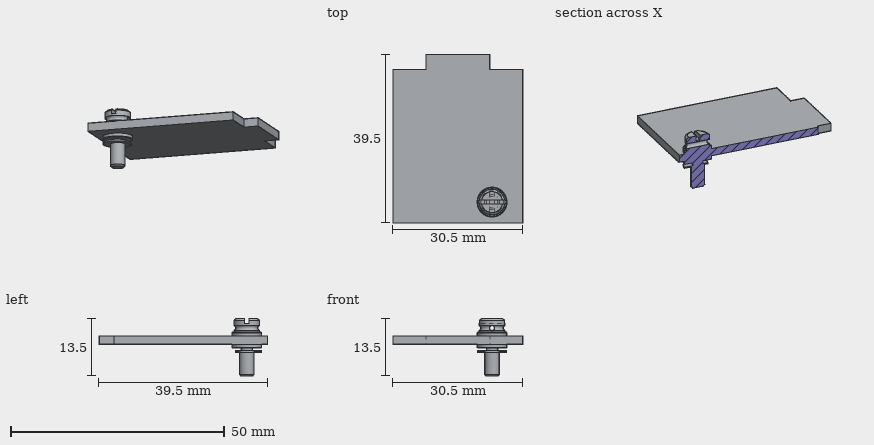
import cadquery as cq

plate_width = 30.5
body_length = 36.0
tab_width = 15.0
tab_length = 3.5
plate_thickness = 2.0

screw_x = plate_width - 7.25
screw_y = 4.9
screw_length = 13.53
head_top_z = plate_thickness + 4.1
tip_z = head_top_z - screw_length

bushing_radius = 3.5
bushing_projection = 0.85
bushing_chamfer = 0.15
bushing_top_z = plate_thickness + bushing_projection
bushing_bottom_z = -bushing_projection

head_radius = 3.02
head_chamfer_width = 0.55
head_chamfer_height = 0.45
band_bottom_z = head_top_z - 1.7
waist_radius = 2.65
waist_bottom_z = band_bottom_z - 1.15
waist_middle_z = (band_bottom_z + waist_bottom_z) / 2
driver_slot_width = 1.0
driver_slot_depth = 1.2
cross_hole_diameter = 1.15

shank_radius = 1.75
shank_chamfer = 0.4
neck_radius = 1.35
clip_radius = 3.45
clip_thickness = 0.4
clip_flat_offset = 2.6
clip_top_z = bushing_bottom_z - 0.6
clip_bottom_z = clip_top_z - clip_thickness


def make_plate():
    """Rectangular plate with a centred tab on its +Y edge."""
    body = cq.Workplane("XY").box(plate_width, body_length, plate_thickness, centered=False)
    tab = (
        cq.Workplane("XY")
        .box(tab_width, tab_length, plate_thickness, centered=False)
        .translate(((plate_width - tab_width) / 2, body_length, 0))
    )
    return body.union(tab)


def make_bushing():
    """Short cylinder through the plate, chamfered at both ends."""
    return (
        cq.Workplane("XY", origin=(0, 0, bushing_bottom_z))
        .circle(bushing_radius)
        .extrude(bushing_top_z - bushing_bottom_z)
        .edges()
        .chamfer(bushing_chamfer)
    )


def make_screw():
    """Screw turned about Z; a hollow arc forms the waist between band and foot."""
    return (
        cq.Workplane("XZ")
        .moveTo(0, tip_z)
        .lineTo(shank_radius - shank_chamfer, tip_z)
        .lineTo(shank_radius, tip_z + shank_chamfer)
        .lineTo(shank_radius, clip_bottom_z)
        .lineTo(neck_radius, clip_bottom_z)
        .lineTo(neck_radius, bushing_top_z)
        .lineTo(head_radius, bushing_top_z)
        .lineTo(head_radius, waist_bottom_z)
        .threePointArc((waist_radius, waist_middle_z), (head_radius, band_bottom_z))
        .lineTo(head_radius, head_top_z - head_chamfer_height)
        .lineTo(head_radius - head_chamfer_width, head_top_z)
        .lineTo(0, head_top_z)
        .close()
        .revolve(360, (0, 0, 0), (0, 1, 0))
    )


def make_driver_slot():
    """Cutter for the screwdriver slot along X."""
    return (
        cq.Workplane("XY", origin=(0, 0, head_top_z - driver_slot_depth))
        .rect(2 * head_radius, driver_slot_width)
        .extrude(driver_slot_depth)
    )


def make_cross_hole():
    """Cutter for the hole along Y through the middle of the waist."""
    return (
        cq.Workplane("XZ", origin=(0, 0, waist_middle_z))
        .circle(cross_hole_diameter / 2)
        .extrude(head_radius, both=True)
    )


def make_clip():
    """Retaining disc around the neck, cut flat on its +Y side."""
    disc = cq.Workplane("XY", origin=(0, 0, clip_bottom_z)).circle(clip_radius).extrude(clip_thickness)
    beyond_flat = (
        cq.Workplane("XY")
        .box(2 * clip_radius, clip_radius, clip_thickness, centered=(True, False, False))
        .translate((0, clip_flat_offset, clip_bottom_z))
    )
    return disc.cut(beyond_flat)


screw = make_screw().cut(make_driver_slot()).cut(make_cross_hole())
fastener = screw.union(make_bushing()).union(make_clip())
result = make_plate().union(fastener.translate((screw_x, screw_y, 0)))